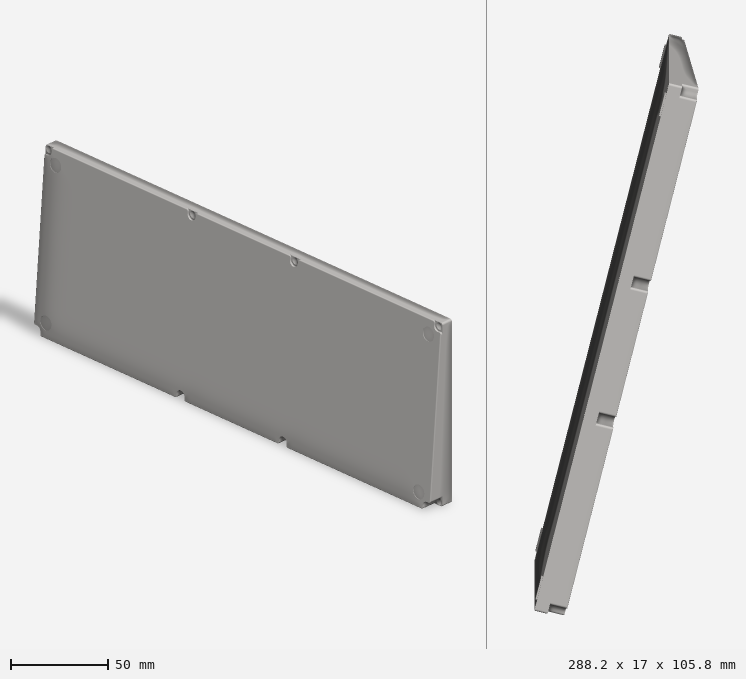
import cadquery as cq
import math

length = 288.2
height = 105.8
total_depth = 17.0
front_slope = 0.08
corner_radius = 1.2
front_edge_radius = 0.5

pad_length = 12.0
pad_thickness = 1.0
pad_height = 3.0
pad_end_gap = 6.0
pad_edge_gap = 1.0

seat_inset = 2.3
inner_seat_x = 37.2
notch_diameter = 5.8
notch_mouth_radius = 1.2
notch_floor_depth = 7.0
screw_diameter = 2.0
countersink_diameter = 4.0
countersink_angle = 90.0

foot_diameter = 8.0
foot_inset = 8.6
foot_recess = 0.3

half_length = length / 2
notch_radius = notch_diameter / 2
body_depth = total_depth - pad_thickness
rounding_loss = front_edge_radius * (front_slope + math.hypot(1, front_slope) - 1)
sharp_depth = body_depth + rounding_loss
top_depth = sharp_depth - front_slope * height


def wedge():
    """Wedge with a flat rear face and a front face that leans out towards the bottom."""
    profile = [(0, 0), (-sharp_depth, 0), (-top_depth, height), (0, height)]
    body = cq.Workplane("YZ").polyline(profile).close().extrude(half_length, both=True)
    return body.edges("|Y").fillet(corner_radius)


def edge_z(inset, end):
    """Height of a point set in from the bottom (end = -1) or top (end = 1) edge."""
    return inset if end < 0 else height - inset


def notch_floor():
    """Plane of the notch floors, facing forward."""
    return cq.Workplane("XZ", origin=(0, -notch_floor_depth, 0))


def notch(x, end, side=0):
    """Round-ended slot in front of the floor, open to the top or bottom edge.

    A side of -1 or 1 makes a corner notch, open to that X end as well.
    """
    z = edge_z(seat_inset, end)
    floor = notch_floor()
    cut = floor.center(x, z).circle(notch_radius).extrude(total_depth)
    openings = [(0, end)]
    if side:
        openings += [(side, 0), (side, end)]
    for step_x, step_z in openings:
        opening = floor.center(x + step_x * notch_radius, z + step_z * notch_radius)
        cut = cut.union(opening.rect(notch_diameter, notch_diameter).extrude(total_depth))
    return cut


def mouth_rounding(x, z, step_x, step_z):
    """Sliver that rounds a sharp notch corner; the steps point from the corner into the material."""
    size = notch_mouth_radius
    floor = notch_floor()
    block = floor.center(x + step_x * size / 2, z + step_z * size / 2).rect(size, size).extrude(total_depth)
    rounding = floor.center(x + step_x * size, z + step_z * size).circle(size).extrude(total_depth)
    return block.cut(rounding)


def screw_hole(x, end):
    """Through hole with a conical countersink in the notch floor."""
    floor = notch_floor().center(x, edge_z(seat_inset, end))
    hole = floor.circle(screw_diameter / 2).extrude(-total_depth)
    cone_width = (countersink_diameter - screw_diameter) / 2
    cone_depth = cone_width / math.tan(math.radians(countersink_angle / 2))
    bottom = floor.workplane(offset=-cone_depth).circle(screw_diameter / 2)
    cone = bottom.workplane(offset=cone_depth).circle(countersink_diameter / 2).loft()
    return hole.union(cone)


def rear_pad(side, end):
    """Thin rectangular pad standing on the rear face."""
    x = side * (half_length - pad_end_gap - pad_length / 2)
    z = edge_z(pad_edge_gap + pad_height / 2, end)
    pad = cq.Workplane("XY").box(pad_length, pad_thickness, pad_height)
    return pad.translate((x, pad_thickness / 2, z))


def foot_pocket(side, end):
    """Shallow round recess square to the sloping front face."""
    x = side * (half_length - foot_inset)
    z = edge_z(foot_inset, end)
    y = -sharp_depth + front_slope * z
    front = cq.Plane(origin=(x, y, z), xDir=(1, 0, 0), normal=(0, -1, front_slope))
    return cq.Workplane(front).circle(foot_diameter / 2).extrude(-foot_recess)


ends = (-1, 1)
sides = (-1, 1)

result = wedge().faces("<Y").edges().fillet(front_edge_radius)

for end in ends:
    outer_z = edge_z(0, end)
    wall_z = edge_z(seat_inset + notch_radius, end)
    for side in sides:
        corner_x = side * (half_length - seat_inset)
        inner_x = side * inner_seat_x
        result = result.cut(notch(corner_x, end, side))
        result = result.cut(notch(inner_x, end))
        result = result.cut(mouth_rounding(corner_x - side * notch_radius, outer_z, -side, -end))
        result = result.cut(mouth_rounding(side * half_length, wall_z, -side, -end))
        for flank in sides:
            result = result.cut(mouth_rounding(inner_x + flank * notch_radius, outer_z, flank, -end))
        result = result.cut(screw_hole(corner_x, end))
        result = result.cut(screw_hole(inner_x, end))
        result = result.cut(foot_pocket(side, end))
        result = result.union(rear_pad(side, end))